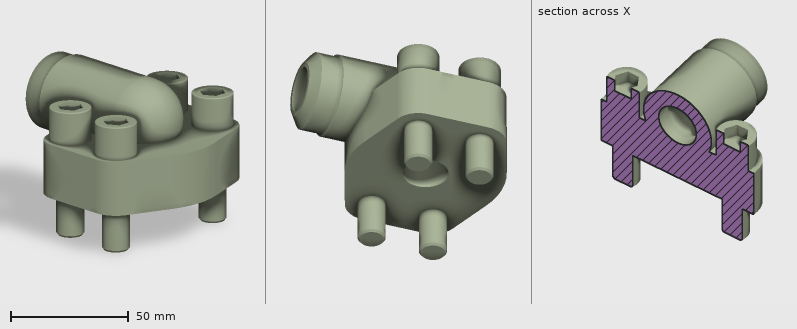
import cadquery as cq
import math


overall_length = 91.4

plate_thickness = 23.95
plate_length_x = 68.9
plate_width_y = 80.0
side_radius = plate_length_x / 2

screw_spacing_x = 27.8
screw_spacing_y = 57.2
screw_x = screw_spacing_x / 2
screw_y = screw_spacing_y / 2
corner_radius = plate_width_y / 2 - screw_y

head_diameter = 18.0
head_height = 14.6
head_edge_radius = 0.55
shank_diameter = 12.0
shank_length = 18.5
shank_chamfer_length = 1.0
shank_chamfer_depth = 0.8
socket_across_flats = 10.0
socket_depth = 6.0

tube_diameter = 35.7
tube_radius = tube_diameter / 2
tube_axis_z = 30.0
tube_length = overall_length - side_radius
bore_radius = 19.5 / 2
spigot_radius = 33.7 / 2

neck_radius = 33.7 / 2
lip_radius = 23.5 / 2
bevel_length = 3.75
neck_length = 8.2
step_length = 1.2


def make_plate():
    """Two large side arcs and four corner arcs joined by common tangent lines."""
    centre_distance = math.hypot(screw_x, screw_y)
    tilt = math.acos((side_radius - corner_radius) / centre_distance)
    normal_angle = math.atan2(screw_y, screw_x) - tilt
    nx = math.cos(normal_angle)
    ny = math.sin(normal_angle)
    side_x = side_radius * nx
    side_y = side_radius * ny
    corner_x = screw_x + corner_radius * nx
    corner_y = screw_y + corner_radius * ny
    edge_y = plate_width_y / 2

    middle_angle = (normal_angle + math.pi / 2) / 2
    middle_x = screw_x + corner_radius * math.cos(middle_angle)
    middle_y = screw_y + corner_radius * math.sin(middle_angle)

    return (
        cq.Workplane("XY")
        .moveTo(side_x, -side_y)
        .threePointArc((side_radius, 0), (side_x, side_y))
        .lineTo(corner_x, corner_y)
        .threePointArc((middle_x, middle_y), (screw_x, edge_y))
        .lineTo(-screw_x, edge_y)
        .threePointArc((-middle_x, middle_y), (-corner_x, corner_y))
        .lineTo(-side_x, side_y)
        .threePointArc((-side_radius, 0), (-side_x, -side_y))
        .lineTo(-corner_x, -corner_y)
        .threePointArc((-middle_x, -middle_y), (-screw_x, -edge_y))
        .lineTo(screw_x, -edge_y)
        .threePointArc((middle_x, -middle_y), (corner_x, -corner_y))
        .close()
        .extrude(plate_thickness)
    )


def make_tube():
    """Solid tube with a spherical closed end, turned about its own axis."""
    end_x = -tube_length
    bevel_x = end_x + bevel_length
    neck_end_x = bevel_x + neck_length
    step_x = neck_end_x + step_length
    dome_middle = tube_radius * math.sqrt(0.5)
    return (
        cq.Workplane("XZ", origin=(0, 0, tube_axis_z))
        .moveTo(end_x, 0)
        .lineTo(end_x, lip_radius)
        .lineTo(bevel_x, neck_radius)
        .lineTo(neck_end_x, neck_radius)
        .tangentArcPoint((step_x, tube_radius), relative=False)
        .lineTo(0, tube_radius)
        .threePointArc((dome_middle, dome_middle), (tube_radius, 0))
        .close()
        .revolve(360, (0, 0, 0), (1, 0, 0))
    )


def make_spigot():
    """Upright round stem that carries the elbow on the plate."""
    return cq.Workplane("XY").circle(spigot_radius).extrude(tube_axis_z)


def make_bore():
    """Elbow passage: horizontal and vertical bores meeting in a sphere."""
    horizontal = (
        cq.Workplane("YZ", origin=(-tube_length, 0, tube_axis_z))
        .circle(bore_radius)
        .extrude(tube_length)
    )
    vertical = cq.Workplane("XY").circle(bore_radius).extrude(tube_axis_z)
    corner = cq.Workplane("XY").sphere(bore_radius).translate((0, 0, tube_axis_z))
    return horizontal.union(vertical).union(corner)


def make_screw():
    """Socket head cap screw, with the underside of its head on the plate."""
    head = (
        cq.Workplane("XY", origin=(0, 0, plate_thickness))
        .circle(head_diameter / 2)
        .extrude(head_height)
        .faces(">Z").edges().fillet(head_edge_radius)
    )
    socket_across_corners = socket_across_flats / math.cos(math.pi / 6)
    socket = (
        cq.Workplane("XY", origin=(0, 0, plate_thickness + head_height - socket_depth))
        .transformed(rotate=(0, 0, 90))
        .polygon(6, socket_across_corners)
        .extrude(socket_depth)
    )
    shank = (
        cq.Workplane("XY", origin=(0, 0, -shank_length))
        .circle(shank_diameter / 2)
        .extrude(shank_length + plate_thickness)
        .faces("<Z").edges().chamfer(shank_chamfer_length, shank_chamfer_depth)
    )
    return head.cut(socket).union(shank)


result = make_plate().union(make_spigot()).union(make_tube()).cut(make_bore())
screw = make_screw()
for x in (-screw_x, screw_x):
    for y in (-screw_y, screw_y):
        result = result.union(screw.translate((x, y, 0)))